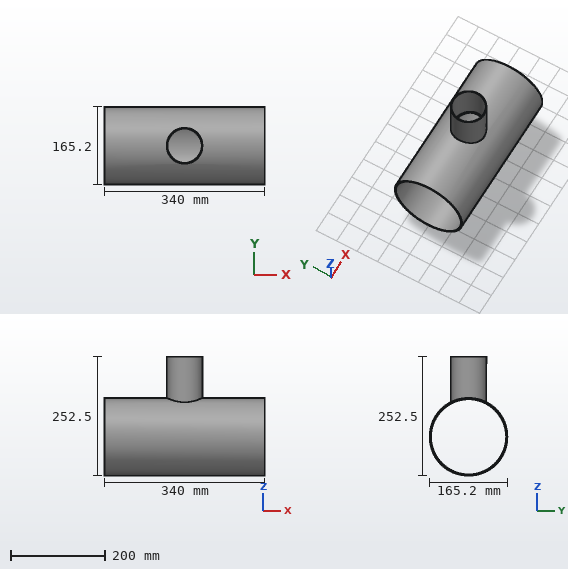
import cadquery as cq

main_length = 340.0
main_outer_diameter = 165.2
main_bore_diameter = 159.0

branch_outer_diameter = 76.0
branch_bore_diameter = 72.5
total_height = 252.5
branch_top = total_height - main_outer_diameter / 2


def main_cylinder(diameter):
    """Solid cylinder over the full length of the main pipe."""
    return cq.Workplane("YZ").circle(diameter / 2).extrude(main_length / 2, both=True)


def branch_cylinder(diameter):
    """Solid cylinder from the main pipe's axis up to the branch's open end."""
    return cq.Workplane("XY").circle(diameter / 2).extrude(branch_top)


outside = main_cylinder(main_outer_diameter).union(branch_cylinder(branch_outer_diameter))
result = outside.cut(main_cylinder(main_bore_diameter)).cut(branch_cylinder(branch_bore_diameter))